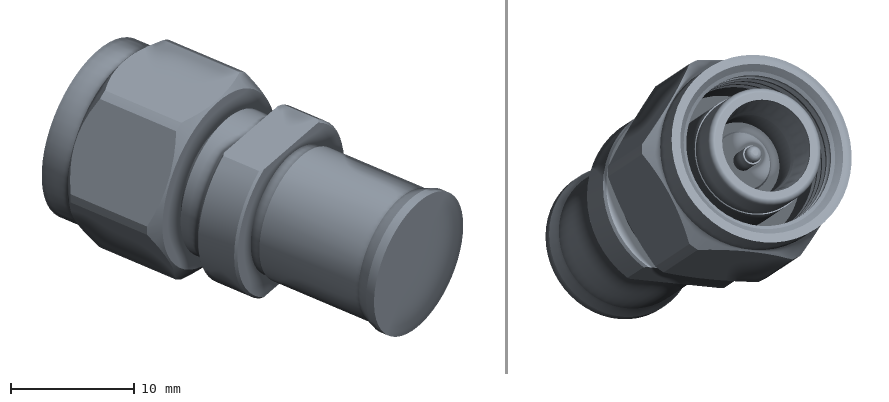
import cadquery as cq
import math

LENGTH = 32.9

COLLAR_START = 1.02
COLLAR_RADIUS = 7.85
HEX_START = 3.55
HEX_END = 13.0
HEX_SIDES = 6
HEX_ACROSS_FLATS = 16.0
HEX_CORNER_RADIUS = 18.0 / 2
REAR_CHAMFER_ANGLE = 33
SOCKET_END = 8.55
SOCKET_MOUTH_RADIUS = 7.1
THREAD_ENTRY_RADIUS = 6.6
THREAD_ROOT_RADIUS = 6.75
THREAD_CREST_RADIUS = 6.32
THREAD_PITCH = 1
THREAD_CREST_WIDTH = 0.23
THREAD_GROOVE_COUNT = 4
THREAD_HALF_ANGLE = 30

TUBE_RADIUS = 4.9
TUBE_EDGE_FILLET = 0.43
TUBE_MOUTH_RADIUS = 3.85
TUBE_LIP_DEPTH = 0.23
TUBE_TAPER_END = 2.6
TUBE_TAPER_END_RADIUS = 3.42
TUBE_BORE_START = 3.1
TUBE_BORE_RADIUS = 3.35
TUBE_BORE_END = 5.6
SHOULDER_START = 3.15
SHOULDER_RADIUS = 5.0

BOSS_RADIUS = 2.53
BOSS_HEIGHT = 0.33
BOSS_CHAMFER = 0.13

PIN_SHANK_RADIUS = 0.8
PIN_SHANK_START = 3.13
PIN_TIP_RADIUS = 0.65
PIN_TIP_START = 2.37
PIN_TIP_FILLET = 0.43

NECK_RADIUS = 5.23
FLANGE_START = 13.8
FLANGE_RADIUS = 6.4
WRENCH_START = 16.3
WRENCH_END = 20.23
WRENCH_RADIUS = 7.75
WRENCH_ACROSS_FLATS = 13.03
WRENCH_CHAMFER = 0.2
REAR_NECK_RADIUS = 5.7
SLEEVE_START = 21.22
SLEEVE_RADIUS = 5.9
FLARE_START = 31.02
RIM_START = 32.1
RIM_RADIUS = 6.32


def cylinder(radius, start, end):
    return cq.Workplane("YZ", origin=(start, 0, 0)).circle(radius).extrude(end - start)


def revolved(points):
    """Turn an (x, radius) outline around the X axis."""
    return cq.Workplane("XY").polyline(points).close().revolve(360, (0, 0, 0), (1, 0, 0))


def hex_nut():
    corner_diameter = HEX_ACROSS_FLATS / math.cos(math.pi / HEX_SIDES)
    prism = (
        cq.Workplane("YZ", origin=(HEX_START, 0, 0))
        .polygon(HEX_SIDES, corner_diameter)
        .extrude(HEX_END - HEX_START)
    )
    corner_height = HEX_CORNER_RADIUS - COLLAR_RADIUS
    rear_chamfer = corner_height * math.tan(math.radians(REAR_CHAMFER_ANGLE))
    envelope = revolved([
        (HEX_START, 0),
        (HEX_START, COLLAR_RADIUS),
        (HEX_START + corner_height, HEX_CORNER_RADIUS),
        (HEX_END - rear_chamfer, HEX_CORNER_RADIUS),
        (HEX_END, COLLAR_RADIUS),
        (HEX_END, 0),
    ])
    return prism.intersect(envelope).union(cylinder(COLLAR_RADIUS, COLLAR_START, HEX_START))


def threaded_socket():
    """Socket space: chamfered mouth, then ring-shaped 60-degree thread grooves."""
    flank_slope = math.tan(math.radians(THREAD_HALF_ANGLE))
    entry_start = COLLAR_START + SOCKET_MOUTH_RADIUS - THREAD_ENTRY_RADIUS
    first_crest = entry_start + (THREAD_ENTRY_RADIUS - THREAD_CREST_RADIUS) * flank_slope
    flank_width = (THREAD_ROOT_RADIUS - THREAD_CREST_RADIUS) * flank_slope
    outline = [
        (COLLAR_START, 0),
        (COLLAR_START, SOCKET_MOUTH_RADIUS),
        (entry_start, THREAD_ENTRY_RADIUS),
        (first_crest, THREAD_CREST_RADIUS),
    ]
    for i in range(THREAD_GROOVE_COUNT):
        groove_start = first_crest + i * THREAD_PITCH + THREAD_CREST_WIDTH
        groove_end = first_crest + (i + 1) * THREAD_PITCH
        outline += [
            (groove_start, THREAD_CREST_RADIUS),
            (groove_start + flank_width, THREAD_ROOT_RADIUS),
            (groove_end - flank_width, THREAD_ROOT_RADIUS),
            (groove_end, THREAD_CREST_RADIUS),
        ]
    outline += [(SOCKET_END, THREAD_CREST_RADIUS), (SOCKET_END, 0)]
    return revolved(outline)


def contact_tube():
    tube = cylinder(TUBE_RADIUS, 0, SOCKET_END).faces("<X").edges().fillet(TUBE_EDGE_FILLET)
    shoulder = cylinder(SHOULDER_RADIUS, SHOULDER_START, SOCKET_END)
    bore = revolved([
        (0, 0),
        (0, TUBE_MOUTH_RADIUS),
        (TUBE_LIP_DEPTH, TUBE_MOUTH_RADIUS),
        (TUBE_TAPER_END, TUBE_TAPER_END_RADIUS),
        (TUBE_BORE_START, TUBE_BORE_RADIUS),
        (TUBE_BORE_END, TUBE_BORE_RADIUS),
        (TUBE_BORE_END, 0),
    ])
    return tube.union(shoulder).cut(bore)


def insulator_boss():
    boss = cylinder(BOSS_RADIUS, TUBE_BORE_END - BOSS_HEIGHT, TUBE_BORE_END)
    return boss.faces("<X").edges().chamfer(BOSS_CHAMFER)


def center_pin():
    tip = cylinder(PIN_TIP_RADIUS, PIN_TIP_START, TUBE_BORE_END)
    shank = cylinder(PIN_SHANK_RADIUS, PIN_SHANK_START, TUBE_BORE_END)
    return tip.faces("<X").edges().fillet(PIN_TIP_FILLET).union(shank)


def wrench_ring():
    ring = cylinder(WRENCH_RADIUS, WRENCH_START, WRENCH_END).edges().chamfer(WRENCH_CHAMFER)
    flats = cq.Workplane("XY").box(2 * LENGTH, 2 * WRENCH_RADIUS, WRENCH_ACROSS_FLATS)
    return ring.intersect(flats)


def rear_body():
    return revolved([
        (HEX_END, 0),
        (HEX_END, NECK_RADIUS),
        (FLANGE_START, NECK_RADIUS),
        (FLANGE_START, FLANGE_RADIUS),
        (WRENCH_START, FLANGE_RADIUS),
        (WRENCH_START, REAR_NECK_RADIUS),
        (SLEEVE_START, REAR_NECK_RADIUS),
        (SLEEVE_START, SLEEVE_RADIUS),
        (FLARE_START, SLEEVE_RADIUS),
        (RIM_START, RIM_RADIUS),
        (LENGTH, RIM_RADIUS),
        (LENGTH, 0),
    ])


result = hex_nut().cut(threaded_socket())
for piece in (contact_tube(), insulator_boss(), center_pin(), rear_body(), wrench_ring()):
    result = result.union(piece)